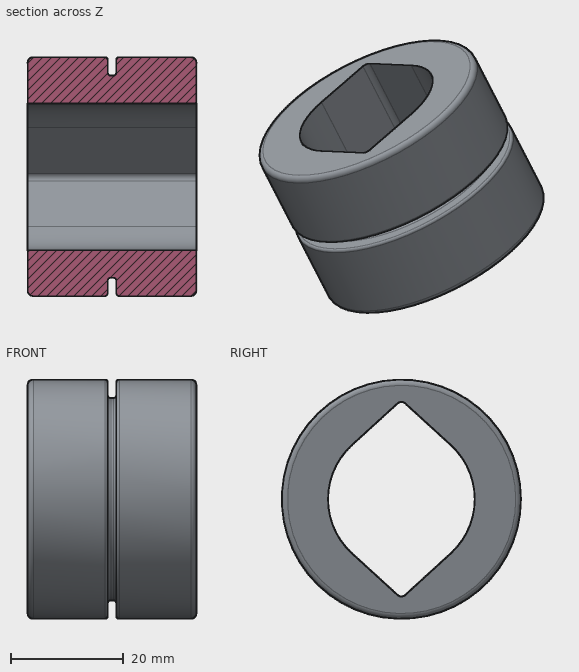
import cadquery as cq
import math

length = 30.0
outer_radius = 42.5 / 2
end_round = 1.0

groove_width = 1.5
groove_floor_radius = 18.0
groove_round = 0.5

bore_radius = 13.0
tip_height = 17.25
tip_radius = 1.0


def make_ring():
    """Plain cylinder with rounded end edges."""
    ring = cq.Workplane("YZ").circle(outer_radius).extrude(length / 2, both=True)
    return ring.edges().fillet(end_round)


def make_groove_cutter():
    """Solid of revolution that cuts the groove, its floor corners and its rounded lips."""
    half_width = groove_width / 2
    floor_half = half_width - groove_round
    lip_half = half_width + groove_round
    wall_bottom = groove_floor_radius + groove_round
    wall_top = outer_radius - groove_round
    clear_radius = outer_radius + groove_round
    arc_offset = groove_round * math.sqrt(0.5)
    floor_mid_x = floor_half + arc_offset
    floor_mid_radius = wall_bottom - arc_offset
    lip_mid_x = lip_half - arc_offset
    lip_mid_radius = wall_top + arc_offset

    profile = (
        cq.Workplane("XY")
        .moveTo(-floor_half, groove_floor_radius)
        .lineTo(floor_half, groove_floor_radius)
        .threePointArc((floor_mid_x, floor_mid_radius), (half_width, wall_bottom))
        .lineTo(half_width, wall_top)
        .threePointArc((lip_mid_x, lip_mid_radius), (lip_half, outer_radius))
        .lineTo(lip_half, clear_radius)
        .lineTo(-lip_half, clear_radius)
        .lineTo(-lip_half, outer_radius)
        .threePointArc((-lip_mid_x, lip_mid_radius), (-half_width, wall_top))
        .lineTo(-half_width, wall_bottom)
        .threePointArc((-floor_mid_x, floor_mid_radius), (-floor_half, groove_floor_radius))
        .close()
    )
    return profile.revolve(360, (0, 0, 0), (1, 0, 0))


def make_opening_cutter():
    """Prism of the opening: bore arcs joined to the tip arcs by common tangent lines."""
    tip_centre = tip_height - tip_radius
    tangent_angle = math.acos((bore_radius - tip_radius) / tip_centre)
    bore_y = bore_radius * math.sin(tangent_angle)
    bore_z = bore_radius * math.cos(tangent_angle)
    tip_y = tip_radius * math.sin(tangent_angle)
    tip_z = tip_centre + tip_radius * math.cos(tangent_angle)

    outline = (
        cq.Workplane("YZ")
        .moveTo(bore_y, -bore_z)
        .threePointArc((bore_radius, 0), (bore_y, bore_z))
        .lineTo(tip_y, tip_z)
        .threePointArc((0, tip_height), (-tip_y, tip_z))
        .lineTo(-bore_y, bore_z)
        .threePointArc((-bore_radius, 0), (-bore_y, -bore_z))
        .lineTo(-tip_y, -tip_z)
        .threePointArc((0, -tip_height), (tip_y, -tip_z))
        .close()
    )
    return outline.extrude(length, both=True)


result = make_ring().cut(make_groove_cutter()).cut(make_opening_cutter())